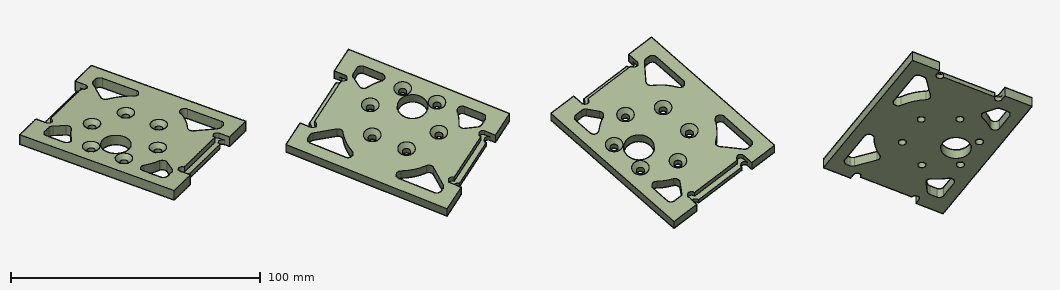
import cadquery as cq

length = 72.5
width = 55.0
thickness = 4.8

notch_width = 30.0
lower_notch_depth = 2.5
upper_notch_depth = 4.85
ledge_height = 2.25
relief_radius = 1.6

screw_count = 6
screw_ring_radius = 15.45
screw_ring_y = -6.0
screw_diameter = 3.2
countersink_diameter = 7.0
countersink_angle = 90.0

bore_diameter = 12.25
bore_y = -13.0

pocket_corner_radius = 2.0
pocket_arc_radius = 23.9

rear_pocket_corners = [(-27.9, 20.3), (-11.95, 20.3), (-20.45, 12.6), (-27.9, 18.8)]
front_pocket_corners = [(-26.8, -20.45), (-18.55, -20.45), (-22.55, -14.2), (-26.8, -17.25)]


def side_notch(depth, bottom):
    """Notch in the left side, open to the top, with round reliefs in its corners."""
    height = thickness - bottom
    edge_x = -length / 2 + depth
    relief_y = notch_width / 2 - relief_radius
    slot = (
        cq.Workplane("XY", origin=(edge_x - depth / 2, 0, bottom))
        .rect(depth, notch_width)
        .extrude(height)
    )
    reliefs = (
        cq.Workplane("XY", origin=(edge_x, 0, bottom))
        .pushPoints([(0, relief_y), (0, -relief_y)])
        .circle(relief_radius)
        .extrude(height)
    )
    return slot.union(reliefs)


def pocket(corners, arc_radius):
    """Through pocket; the sign of arc_radius sets the way its curved edge bows."""
    first, second, third, fourth = corners
    return (
        cq.Workplane("XY")
        .moveTo(*first)
        .lineTo(*second)
        .radiusArc(third, arc_radius)
        .lineTo(*fourth)
        .close()
        .offset2D(pocket_corner_radius)
        .extrude(thickness)
    )


plate = cq.Workplane("XY").box(length, width, thickness, centered=(True, True, False))

left_cutters = [
    side_notch(lower_notch_depth, 0),
    side_notch(upper_notch_depth, ledge_height),
    pocket(rear_pocket_corners, -pocket_arc_radius),
    pocket(front_pocket_corners, pocket_arc_radius),
]
for cutter in left_cutters:
    plate = plate.cut(cutter).cut(cutter.mirror("YZ"))

plate = (
    plate.faces(">Z")
    .workplane(origin=(0, screw_ring_y, thickness))
    .polarArray(screw_ring_radius, 0, 360, screw_count)
    .cskHole(screw_diameter, countersink_diameter, countersink_angle)
)

bore = cq.Workplane("XY").center(0, bore_y).circle(bore_diameter / 2).extrude(thickness)

result = plate.cut(bore)